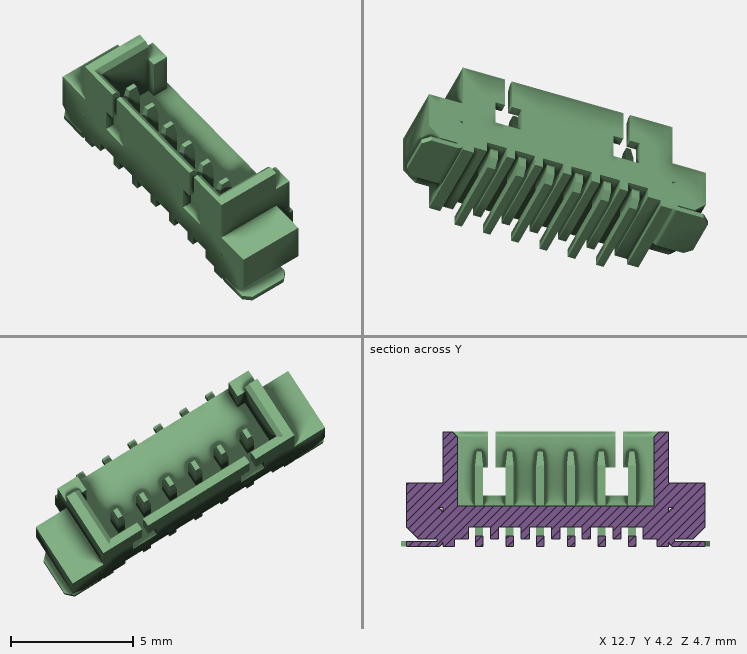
import cadquery as cq

total_length = 12.65
total_depth = 4.2
total_height = 4.7

body_half = 4.63
body_depth = 3.7
body_bottom = 0.3
floor_height = 1.68
side_wall_depth = 2.82
side_wall = 0.61
front_wall = 0.39
lead_in = 0.2
pillar_depth = 0.68
pillar_width = 0.96
pillar_height = 3.7

latch_slot_inner = 2.47
latch_slot_outer = 2.76
window_inner = 2.04
window_outer = 3.19
window_bottom = 2.09
window_top = 3.24

wing_half = 6.12
wing_top = 2.63
wing_chamfer = 0.5

foot_width = 0.49
comb_roof = 0.8
comb_half = 3.57
tooth_width = 0.35

pin_count = 6
pin_pitch = 1.25
pin_width = 0.33
pin_front = 0.96
pin_depth = 0.61
pin_top = 3.9
pin_tip_height = 0.57
pin_tip_width = 0.2
pin_tip_depth = 0.39
lead_thickness = 0.45
heel_front = 0.28
heel_chamfer = 0.3

strip = 0.23
arm_thickness = 0.27
bracket_width = 2.21
arm_end = 5.44
arm_top = 1.6
bend_radius = 0.23
inner_bend_radius = 0.06
foot_chamfer = 0.3


def box(x_min, x_max, y_min, y_max, z_min, z_max):
    """Axis-aligned block given by its limits."""
    size = (x_max - x_min, y_max - y_min, z_max - z_min)
    return cq.Workplane("XY").box(*size, centered=False).translate((x_min, y_min, z_min))


def both_sides(right_half):
    """The shape on the +X side together with its mirror image."""
    return right_half.union(right_half.mirror("YZ"))


def extrude_back(outline, depth):
    """Extrude an XZ outline from the front face toward +Y."""
    return cq.Workplane("XZ").polyline(outline).close().extrude(-depth)


def make_housing():
    housing = box(-body_half, body_half, 0, body_depth, body_bottom, floor_height)
    housing = housing.union(box(-body_half, body_half, 0, side_wall_depth, floor_height, total_height))

    cavity_half = body_half - side_wall
    cavity = box(-cavity_half, cavity_half, front_wall, body_depth, floor_height, total_height)

    outline_center = (front_wall + body_depth) / 2
    outline_depth = body_depth - front_wall
    flare = (
        cq.Workplane("XY", origin=(0, outline_center, total_height))
        .rect(2 * (cavity_half + lead_in), outline_depth + 2 * lead_in)
        .workplane(offset=-lead_in)
        .rect(2 * cavity_half, outline_depth)
        .loft(ruled=True)
    )
    housing = housing.cut(cavity).cut(flare)

    pillar = box(
        body_half - pillar_width, body_half,
        side_wall_depth, side_wall_depth + pillar_depth,
        floor_height, pillar_height,
    )
    foot = box(body_half - foot_width, body_half, 0, body_depth, 0, body_bottom)
    return housing.union(both_sides(pillar)).union(both_sides(foot))


def make_latch_openings():
    slot = box(latch_slot_inner, latch_slot_outer, 0, front_wall, window_top, total_height)
    window = box(window_inner, window_outer, 0, front_wall, window_bottom, window_top)
    return both_sides(slot.union(window))


def make_comb_gaps():
    gaps = box(-comb_half, comb_half, 0, body_depth, body_bottom, comb_roof)
    for i in range(pin_count - 1):
        x = (i - (pin_count - 2) / 2) * pin_pitch
        gaps = gaps.cut(box(x - tooth_width / 2, x + tooth_width / 2, 0, body_depth, body_bottom, comb_roof))
    return gaps


def make_wing():
    return extrude_back(
        [
            (body_half, body_bottom),
            (wing_half - wing_chamfer, body_bottom),
            (wing_half, body_bottom + wing_chamfer),
            (wing_half, wing_top),
            (body_half, wing_top),
        ],
        side_wall_depth,
    )


def make_bracket_pocket():
    """Square-cornered pocket in the wing that takes the bracket's leg and upper arm."""
    leg = box(body_half, body_half + strip, 0, bracket_width, body_bottom, arm_top)
    arm = box(body_half, arm_end, 0, bracket_width, arm_top - arm_thickness, arm_top)
    return leg.union(arm)


def make_bracket():
    leg_outer = body_half + strip
    tab_end = total_length / 2
    bracket = extrude_back(
        [
            (body_half, 0),
            (tab_end, 0),
            (tab_end, strip),
            (leg_outer, strip),
            (leg_outer, arm_top - arm_thickness),
            (arm_end, arm_top - arm_thickness),
            (arm_end, arm_top),
            (body_half, arm_top),
        ],
        bracket_width,
    )
    bracket = bracket.edges("|Y and <X").fillet(bend_radius)
    margin = inner_bend_radius
    inner_bends = cq.selectors.BoxSelector(
        (leg_outer - margin, 0, strip - margin),
        (leg_outer + margin, bracket_width, arm_top - arm_thickness + margin),
    )
    bracket = bracket.edges("|Y").edges(inner_bends).fillet(inner_bend_radius)
    return bracket.edges("|Z and >X").chamfer(foot_chamfer)


def make_terminal(x):
    """Upright blade with a tapered tip, on a heel that runs back as the solder lead."""
    pin_back = pin_front + pin_depth
    shoulder = pin_top - pin_tip_height
    blade_and_lead = (
        cq.Workplane("YZ", origin=(x - pin_width / 2, 0, 0))
        .polyline([
            (heel_front + heel_chamfer, 0),
            (total_depth, 0),
            (total_depth, lead_thickness),
            (pin_back, lead_thickness),
            (pin_back, shoulder),
            (pin_front, shoulder),
            (pin_front, comb_roof),
            (heel_front, comb_roof),
            (heel_front, heel_chamfer),
        ])
        .close()
        .extrude(pin_width)
    )
    tip = (
        cq.Workplane("XY", origin=(x, pin_front + pin_depth / 2, shoulder))
        .rect(pin_width, pin_depth)
        .workplane(offset=pin_tip_height)
        .rect(pin_tip_width, pin_tip_depth)
        .loft(ruled=True)
    )
    return blade_and_lead.union(tip)


result = make_housing().cut(make_latch_openings()).cut(make_comb_gaps())
result = result.union(both_sides(make_wing().cut(make_bracket_pocket())))
result = result.union(both_sides(make_bracket()))
for index in range(pin_count):
    result = result.union(make_terminal((index - (pin_count - 1) / 2) * pin_pitch))